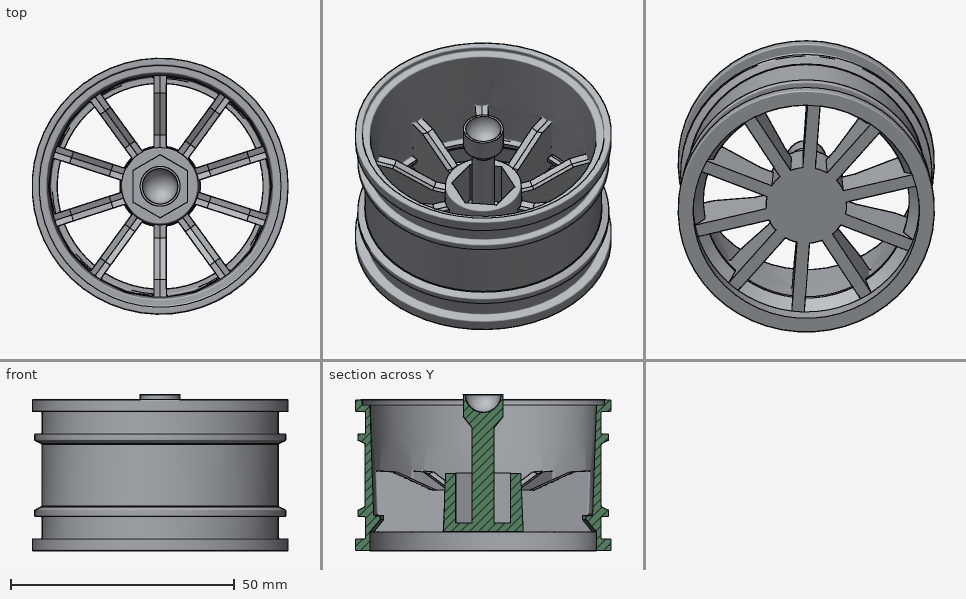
import cadquery as cq
import math

rim_width = 33.8
flange_radius = 28.6
flange_thickness = 2.7
drum_radius = 26.4
ridge_radius = 28.05
ridge_side_offset = 9.25
ridge_land_offset = 7.8
ridge_foot_offset = 7.0
outer_edge_fillet = 0.3
foot_fillet = 0.2

recess_radius = 27.0
recess_depth = 1.2
recess_fillet = 0.3
bore_mouth_radius = 25.25
bore_draft = 2.0

lip_top = 7.9
lip_thickness = 0.9
lip_radius = 22.95
flare_angle = 40.0
outer_bore_radius = 25.25

hub_top = 17.4
hub_top_radius = 8.45
hub_base_radius = 9.0
hub_top_fillet = 0.2
hex_sides = 6
hex_across_flats = 12.2
hub_floor_thickness = 2.0

spoke_count = 10
first_spoke_angle = 90
spoke_width = 2.8
spoke_outer_top = 17.9
spoke_shoulder_radius = 20.8
spoke_shoulder_top = 17.65
spoke_root_radius = 11.5
spoke_root_top = 13.6
groove_depth = 0.4
junction_fillet = 0.32

post_top = 34.9
post_radius = 2.5
head_radius = 4.45
head_height = 5.0
head_taper_height = 2.4
socket_radius = 3.95

mid_width = rim_width / 2
recess_floor = rim_width - recess_depth
lip_bottom = lip_top - lip_thickness
flare_bottom = lip_bottom - (outer_bore_radius - lip_radius) / math.tan(math.radians(flare_angle))
hub_bottom = flare_bottom
hex_floor = hub_bottom + hub_floor_thickness
hex_corner_diameter = hex_across_flats / math.cos(math.pi / hex_sides)
head_bottom = post_top - head_height
spoke_start_radius = (hex_across_flats / 2 + hub_top_radius) / 2
spoke_end_radius = (outer_bore_radius + drum_radius) / 2


def bore_radius(height):
    """Radius of the drafted bore at the given height."""
    return bore_mouth_radius - (recess_floor - height) * math.tan(math.radians(bore_draft))


def revolve_profile(points):
    """Solid of revolution about Z from (radius, height) points."""
    return cq.Workplane("XZ").polyline(points).close().revolve(360, (0, 0), (0, 1))


def circles_between(body, inner, outer):
    """Full-circle edges whose radius lies between two limits."""
    return body.edges("%CIRCLE").filter(lambda edge: inner < edge.radius() < outer)


def make_rim_body():
    lower_half = [
        (0, 0),
        (flange_radius, 0),
        (flange_radius, flange_thickness),
        (drum_radius, flange_thickness),
        (drum_radius, mid_width - ridge_side_offset),
        (ridge_radius, mid_width - ridge_side_offset),
        (ridge_radius, mid_width - ridge_land_offset),
        (drum_radius, mid_width - ridge_foot_offset),
    ]
    upper_half = [(radius, rim_width - height) for radius, height in reversed(lower_half)]
    body = revolve_profile(lower_half + upper_half)
    between = (drum_radius + ridge_radius) / 2
    body = circles_between(body, between, math.inf).fillet(outer_edge_fillet)
    return circles_between(body, 0, between).fillet(foot_fillet)


def make_inner_cutter():
    """Bore and recess above the lip."""
    bore = revolve_profile([
        (0, lip_top),
        (bore_radius(lip_top), lip_top),
        (bore_mouth_radius, recess_floor),
        (recess_radius, recess_floor),
        (recess_radius, rim_width),
        (0, rim_width),
    ])
    ledge = bore.faces(">Z[1]")
    return ledge.edges().fillet(recess_fillet)


def make_outer_cutter():
    """Opening through the lip and the flared bore below it."""
    return revolve_profile([
        (0, 0),
        (outer_bore_radius, 0),
        (outer_bore_radius, flare_bottom),
        (lip_radius, lip_bottom),
        (lip_radius, lip_top),
        (0, lip_top),
    ])


def make_hub():
    hub = revolve_profile([
        (0, hub_bottom),
        (hub_base_radius, hub_bottom),
        (hub_top_radius, hub_top),
        (0, hub_top),
    ])
    return hub.faces(">Z").edges().fillet(hub_top_fillet)


def make_spoke():
    """Spoke along +X from the hub wall into the rim wall, with a V groove along its top."""
    sections = [(-spoke_width / 2, 0), (0, groove_depth), (spoke_width / 2, 0)]
    wires = []
    for offset, drop in sections:
        points = [
            (spoke_start_radius, hub_bottom),
            (spoke_end_radius, hub_bottom),
            (spoke_end_radius, spoke_outer_top - drop),
            (spoke_shoulder_radius, spoke_shoulder_top - drop),
            (spoke_root_radius, spoke_root_top - drop),
            (spoke_start_radius, spoke_root_top - drop),
        ]
        corners = [cq.Vector(radius, offset, height) for radius, height in points]
        wires.append(cq.Wire.makePolygon(corners, close=True))
    return cq.Workplane(cq.Solid.makeLoft(wires, ruled=True))


def make_spokes():
    """Ring of separate spokes, two of them along the Y axis."""
    spoke = make_spoke()
    ring = cq.Workplane()
    for index in range(spoke_count):
        angle = first_spoke_angle + index * 360 / spoke_count
        ring = ring.add(spoke.rotate((0, 0, 0), (0, 0, 1), angle))
    return ring.combine()


def lies_on_bore(edge):
    """True for edges on the drafted bore where it meets the lip or a spoke."""
    tolerance = 0.01
    for position in (0, 0.5, 1):
        point = edge.positionAt(position)
        if not lip_top - tolerance < point.z < spoke_outer_top + tolerance:
            return False
        if abs(math.hypot(point.x, point.y) - bore_radius(point.z)) > tolerance:
            return False
    return True


def make_wheel():
    wheel = make_rim_body().cut(make_inner_cutter()).cut(make_outer_cutter())
    end_face_middle = (recess_radius + flange_radius) / 2
    wheel = circles_between(wheel.faces(">Z"), 0, end_face_middle).fillet(recess_fillet)
    wheel = wheel.union(make_spokes())
    wheel = wheel.edges().filter(lies_on_bore).fillet(junction_fillet)
    return wheel.union(make_hub())


def make_hex_pocket():
    """Hexagon with two corners on the Y axis, open at the top of the hub."""
    hexagon = cq.Workplane("XY", origin=(0, 0, hex_floor)).polygon(hex_sides, hex_corner_diameter)
    return hexagon.extrude(hub_top - hex_floor).rotate((0, 0, 0), (0, 0, 1), 90)


def make_post():
    post = revolve_profile([
        (0, hub_bottom),
        (post_radius, hub_bottom),
        (post_radius, head_bottom - head_taper_height),
        (head_radius, head_bottom),
        (head_radius, post_top),
        (0, post_top),
    ])
    socket = cq.Workplane("XY", origin=(0, 0, post_top)).sphere(socket_radius)
    return post.cut(socket)


result = make_wheel().cut(make_hex_pocket()).union(make_post())